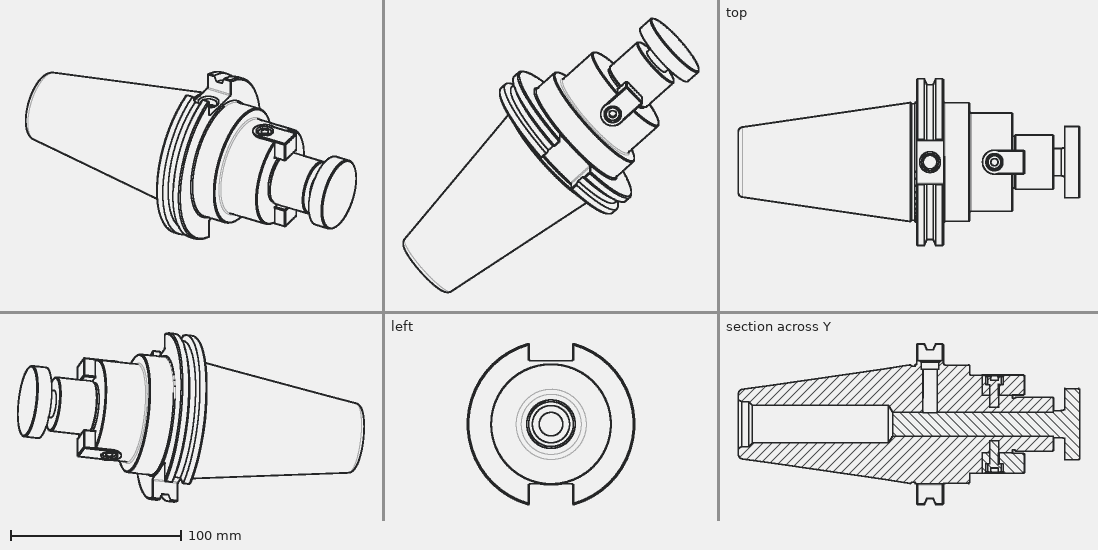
import cadquery as cq
import math


taper_end = 101.3
gauge_diameter = 70.1
taper_ratio = 7 / 24
small_end_diameter = gauge_diameter - taper_ratio * taper_end
small_end_round = 3.0
relief_diameter = 68.7
gauge_step = (gauge_diameter - relief_diameter) / 2
neck_fillet = 1.0

flange_start = 104.9
flange_end = 120.8
flange_center = (flange_start + flange_end) / 2
flange_diameter = 98.5
flange_chamfer = 0.8
groove_diameter = 91.2
groove_floor_width = 3.6
groove_mouth_width = 6.8

slot_width = 25.7
slot_corner_fillet = 0.6
slot_edge_chamfer = 0.6
top_slot_height = 37.4
bottom_slot_height = 35.2

flange_hole_diameter = 10.0
flange_hole_mouth = 12.3
flange_hole_depth = 5.0
flange_inner_diameter = 8.0

body_diameter = 70.0
body_end = 136.2
seat_diameter = 57.9
seat_end = 161.4
edge_chamfer = 0.6
shoulder_fillet = 0.8
pilot_diameter = 32.0
pilot_start = 162.5
pilot_end = 185.5
pilot_chamfer = 0.6
undercut_diameter = 30.5

bore_mouth_diameter = 28.5
bore_mouth_depth = 2.0
counterbore_diameter = 26.3
counterbore_depth = 6.2
bore_diameter = 22.0
bore_depth = 88.5
bore_lead = (counterbore_diameter - bore_diameter) / 2
drill_point_angle = 118

core_diameter = 13.9
drill_point_length = (bore_diameter - core_diameter) / 2 / math.tan(math.radians(drill_point_angle / 2))
core_start = bore_depth + drill_point_length
screw_neck_diameter = 16.0
screw_collar_start = 190.0
screw_collar_diameter = 17.3
screw_head_start = 192.0
screw_head_end = 201.0
screw_head_diameter = 42.0
screw_head_chamfer = 0.6

key_width = 14.0
key_center_x = 150.7
key_end = 168.4
key_bottom = 17.0
key_top = 29.0
key_chamfer = 0.6

key_counterbore_diameter = 10.0
key_clearance_diameter = 5.5
key_screw_head_diameter = 8.5
key_screw_head_chamfer = 0.5
key_screw_head_height = 5.0
key_screw_head_recess = 0.6
key_screw_shank_diameter = 5.0
key_screw_tip = 10.0
key_socket_diameter = 4.2
key_socket_depth = 2.5
key_screw_top = key_top - key_screw_head_recess
key_screw_seat = key_screw_top - key_screw_head_height

key_angles = (0, 180)


def on_z(x, bottom, top, diameter):
    """Upright cylinder at the given X position."""
    return cq.Workplane("XY", origin=(x, 0, bottom)).circle(diameter / 2).extrude(top - bottom)


def about_x(shape, angle):
    return shape.rotate((0, 0, 0), (1, 0, 0), angle)


def revolve_x(outline):
    """Close a half outline and turn it about the X axis."""
    return outline.close().revolve(360, (0, 0, 0), (1, 0, 0))


def make_turned_blank():
    """Outside of the holder, turned in one piece from taper to pilot."""
    relief_radius = relief_diameter / 2
    rim_radius = flange_diameter / 2
    body_radius = body_diameter / 2
    seat_radius = seat_diameter / 2
    undercut_radius = undercut_diameter / 2
    pilot_radius = pilot_diameter / 2
    half_mouth = groove_mouth_width / 2
    half_floor = groove_floor_width / 2
    outline = (
        cq.Workplane("XY")
        .moveTo(0, 0)
        .lineTo(0, small_end_diameter / 2)
        .lineTo(taper_end, gauge_diameter / 2)
        .lineTo(taper_end + gauge_step, relief_radius)
        .lineTo(flange_start - neck_fillet, relief_radius)
        .radiusArc((flange_start, relief_radius + neck_fillet), neck_fillet)
        .lineTo(flange_start, rim_radius - flange_chamfer)
        .lineTo(flange_start + flange_chamfer, rim_radius)
        .lineTo(flange_center - half_mouth, rim_radius)
        .lineTo(flange_center - half_floor, groove_diameter / 2)
        .lineTo(flange_center + half_floor, groove_diameter / 2)
        .lineTo(flange_center + half_mouth, rim_radius)
        .lineTo(flange_end - flange_chamfer, rim_radius)
        .lineTo(flange_end, rim_radius - flange_chamfer)
        .lineTo(flange_end, body_radius + shoulder_fillet)
        .radiusArc((flange_end + shoulder_fillet, body_radius), -shoulder_fillet)
        .lineTo(body_end - edge_chamfer, body_radius)
        .lineTo(body_end, body_radius - edge_chamfer)
        .lineTo(body_end, seat_radius + shoulder_fillet)
        .radiusArc((body_end + shoulder_fillet, seat_radius), -shoulder_fillet)
        .lineTo(seat_end - edge_chamfer, seat_radius)
        .lineTo(seat_end, seat_radius - edge_chamfer)
        .lineTo(seat_end, undercut_radius)
        .lineTo(pilot_start, undercut_radius)
        .lineTo(pilot_start + pilot_chamfer, pilot_radius)
        .lineTo(pilot_end - pilot_chamfer, pilot_radius)
        .lineTo(pilot_end, pilot_radius - pilot_chamfer)
        .lineTo(pilot_end, 0)
    )
    return revolve_x(outline).faces("<X").edges().fillet(small_end_round)


def make_flange_slot(floor_height):
    """Drive slot through the top of the flange rim, with beveled wall edges and rounded floor corners."""
    rim_radius = flange_diameter / 2
    half_width = slot_width / 2
    half_bevel_width = half_width + slot_edge_chamfer
    depth = rim_radius - floor_height
    floor_plane = cq.Workplane("XY", origin=(flange_center, 0, floor_height))
    slot = floor_plane.rect(flange_end - flange_start, slot_width).extrude(depth)
    slot = slot.faces("<Z").edges("|X").fillet(slot_corner_fillet)

    for face_x, inward in ((flange_start, 1), (flange_end, -1)):
        bevel = cq.Workplane("XY", origin=(face_x, 0, floor_height + slot_corner_fillet)).polyline([
            (0, -half_bevel_width),
            (0, half_bevel_width),
            (inward * slot_edge_chamfer, half_width),
            (inward * slot_edge_chamfer, -half_width),
        ])
        slot = slot.union(bevel.close().extrude(depth))

    wall_top = math.sqrt(rim_radius ** 2 - half_width ** 2)
    rim_bevel = cq.Workplane("YZ", origin=(flange_start, 0, 0)).polyline([
        (-half_width, wall_top - slot_edge_chamfer),
        (half_width, wall_top - slot_edge_chamfer),
        (half_bevel_width, wall_top),
        (half_bevel_width, rim_radius),
        (-half_bevel_width, rim_radius),
        (-half_bevel_width, wall_top),
    ])
    return slot.union(rim_bevel.close().extrude(flange_end - flange_start))


def make_flange_hole():
    """Chamfered, stepped hole from the top slot floor down to the retaining screw."""
    mouth_radius = flange_hole_mouth / 2
    hole_radius = flange_hole_diameter / 2
    inner_radius = flange_inner_diameter / 2
    chamfer_bottom = top_slot_height - (mouth_radius - hole_radius)
    step = top_slot_height - flange_hole_depth
    outline = [
        (0, 0),
        (inner_radius, 0),
        (inner_radius, step),
        (hole_radius, step),
        (hole_radius, chamfer_bottom),
        (mouth_radius, top_slot_height),
        (0, top_slot_height),
    ]
    hole = cq.Workplane("XZ").polyline(outline).close().revolve(360, (0, 0, 0), (0, 1, 0))
    return hole.translate((flange_center, 0, 0))


def make_axial_bore():
    """Pull stud bore from the small end, then the core hole for the retaining screw."""
    counterbore_radius = counterbore_diameter / 2
    bore_radius = bore_diameter / 2
    core_radius = core_diameter / 2
    outline = cq.Workplane("XY").polyline([
        (0, 0),
        (0, bore_mouth_diameter / 2),
        (bore_mouth_depth, counterbore_radius),
        (counterbore_depth, counterbore_radius),
        (counterbore_depth + bore_lead, bore_radius),
        (bore_depth, bore_radius),
        (core_start, core_radius),
        (pilot_end, core_radius),
        (pilot_end, 0),
    ])
    return revolve_x(outline)


def make_key_bar():
    """Straight part of a key, from the center of its round end to its square end."""
    length = key_end - key_center_x
    plane = cq.Workplane("XY", origin=(key_center_x + length / 2, 0, key_bottom))
    return plane.rect(length, key_width).extrude(key_top - key_bottom)


def make_key_seat():
    """Pocket with one round end for a key, open above it."""
    rise = (0, 0, key_top - key_bottom)
    round_end = on_z(key_center_x, key_bottom, key_top, key_width)
    pocket = make_key_bar().union(round_end)
    return pocket.union(pocket.translate(rise))


def make_holder():
    holder = make_turned_blank()
    holder = holder.cut(make_flange_slot(top_slot_height))
    holder = holder.cut(about_x(make_flange_slot(bottom_slot_height), 180))
    holder = holder.cut(make_axial_bore())
    holder = holder.cut(make_flange_hole())
    screw_hole = on_z(key_center_x, key_screw_tip, key_bottom, key_screw_shank_diameter)
    for angle in key_angles:
        holder = holder.cut(about_x(make_key_seat(), angle))
        holder = holder.cut(about_x(screw_hole, angle))
    return holder


def make_drive_key(angle):
    bar = make_key_bar().edges("|X or >X").chamfer(key_chamfer)
    key = bar.union(on_z(key_center_x, key_bottom, key_top, key_width))
    key = key.cut(on_z(key_center_x, key_screw_seat, key_top, key_counterbore_diameter))
    key = key.cut(on_z(key_center_x, key_bottom, key_screw_seat, key_clearance_diameter))
    return about_x(key, angle)


def make_key_screw(angle):
    head = on_z(key_center_x, key_screw_seat, key_screw_top, key_screw_head_diameter)
    head = head.faces(">Z").edges().chamfer(key_screw_head_chamfer)
    socket = on_z(key_center_x, key_screw_top - key_socket_depth, key_screw_top, key_socket_diameter)
    shank = on_z(key_center_x, key_screw_tip, key_screw_seat, key_screw_shank_diameter)
    return about_x(head.cut(socket).union(shank), angle)


def make_retaining_screw():
    core_radius = core_diameter / 2
    neck_radius = screw_neck_diameter / 2
    head_radius = screw_head_diameter / 2
    outline = cq.Workplane("XY").polyline([
        (core_start, 0),
        (core_start, core_radius),
        (pilot_end, core_radius),
        (pilot_end, neck_radius),
        (screw_collar_start, neck_radius),
        (screw_head_start, screw_collar_diameter / 2),
        (screw_head_start, head_radius),
        (screw_head_end - screw_head_chamfer, head_radius),
        (screw_head_end, head_radius - screw_head_chamfer),
        (screw_head_end, 0),
    ])
    return revolve_x(outline)


holder = make_holder()
retaining_screw = make_retaining_screw()
drive_keys = [make_drive_key(angle) for angle in key_angles]
key_screws = [make_key_screw(angle) for angle in key_angles]

result = cq.Compound.makeCompound([
    holder.val(),
    retaining_screw.val(),
    *[key.val() for key in drive_keys],
    *[screw.val() for screw in key_screws],
])